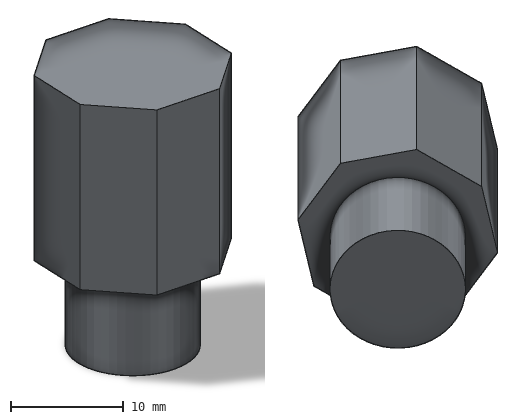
import cadquery as cq

TOTAL_HEIGHT = 28.0
STEM_LENGTH = 9.5
HEAD_LENGTH = TOTAL_HEIGHT - STEM_LENGTH

HEAD_DIAMETER = 18.0
HEAD_SIDES = 8
STEM_DIAMETER = 12.0
STEM_SIDES = 50


def prism(sides, diameter, bottom, length):
    """Upright regular prism on the Z axis, with one corner on +X."""
    return cq.Workplane("XY").workplane(offset=bottom).polygon(sides, diameter).extrude(length)


stem = prism(STEM_SIDES, STEM_DIAMETER, 0, STEM_LENGTH)
head = prism(HEAD_SIDES, HEAD_DIAMETER, STEM_LENGTH, HEAD_LENGTH)

result = stem.union(head)